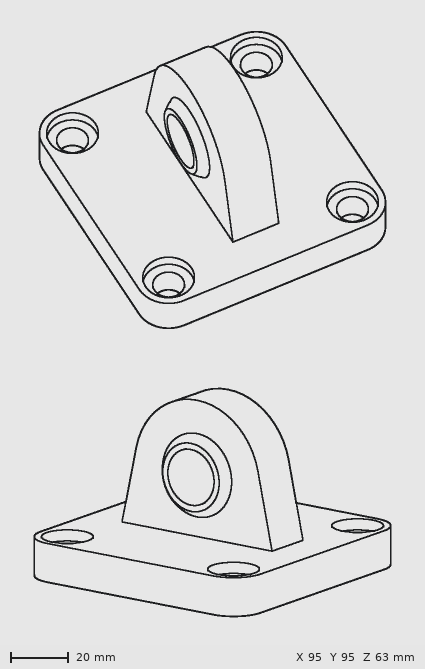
import cadquery as cq
import math

PLATE_SIDE = 95.0
PLATE_THICKNESS = 14.0
CORNER_RADIUS = 11.5

HOLE_PITCH = 72.0
HOLE_DIAMETER = 11.0
COUNTERBORE_DIAMETER = 18.0
COUNTERBORE_DEPTH = 4.0

LUG_THICKNESS = 18.0
LUG_BASE_WIDTH = 65.0
HEAD_RADIUS = 27.0
EYE_HEIGHT = 36.0

BALL_RADIUS = 17.5
BALL_WIDTH = 25.0
BORE_DIAMETER = 20.0


def make_sphere():
    """Full sphere at the eye centre, with its poles on the Y direction."""
    return (
        cq.Workplane("XY")
        .sphere(BALL_RADIUS)
        .rotate((0, 0, 0), (1, 0, 0), 90)
        .translate((0, 0, EYE_HEIGHT))
    )


def make_plate():
    """Square plate with rounded corners and four counterbored holes."""
    plate = (
        cq.Workplane("XY")
        .box(PLATE_SIDE, PLATE_SIDE, PLATE_THICKNESS, centered=(True, True, False))
        .edges("|Z")
        .fillet(CORNER_RADIUS)
    )
    return (
        plate.faces(">Z")
        .workplane()
        .rect(HOLE_PITCH, HOLE_PITCH, forConstruction=True)
        .vertices()
        .cboreHole(HOLE_DIAMETER, COUNTERBORE_DIAMETER, COUNTERBORE_DEPTH)
    )


def make_lug():
    """Lug whose straight sides run from the plate tangentially into the head."""
    half_base = LUG_BASE_WIDTH / 2
    rise = EYE_HEIGHT - PLATE_THICKNESS

    corner_distance = math.hypot(half_base, rise)
    tangent_angle = math.acos(HEAD_RADIUS / corner_distance) - math.atan2(rise, half_base)
    tangent_x = HEAD_RADIUS * math.cos(tangent_angle)
    tangent_z = EYE_HEIGHT + HEAD_RADIUS * math.sin(tangent_angle)

    return (
        cq.Workplane("XZ")
        .moveTo(-half_base, PLATE_THICKNESS)
        .lineTo(half_base, PLATE_THICKNESS)
        .lineTo(tangent_x, tangent_z)
        .threePointArc((0, EYE_HEIGHT + HEAD_RADIUS), (-tangent_x, tangent_z))
        .close()
        .extrude(LUG_THICKNESS / 2, both=True)
    )


def make_housing():
    """Plate and lug in one piece, with a spherical seat for the ball."""
    return make_plate().union(make_lug()).cut(make_sphere())


def make_ball():
    """Sphere cut flat at both ends and bored through along Y."""
    width_limit = cq.Workplane("XY").box(2 * BALL_RADIUS, BALL_WIDTH, 2 * BALL_RADIUS)
    bore = cq.Workplane("XZ").circle(BORE_DIAMETER / 2).extrude(BALL_WIDTH, both=True)
    return (
        make_sphere()
        .intersect(width_limit.translate((0, 0, EYE_HEIGHT)))
        .cut(bore.translate((0, 0, EYE_HEIGHT)))
    )


housing = make_housing()
ball = make_ball()

result = cq.Compound.makeCompound([housing.val(), ball.val()])